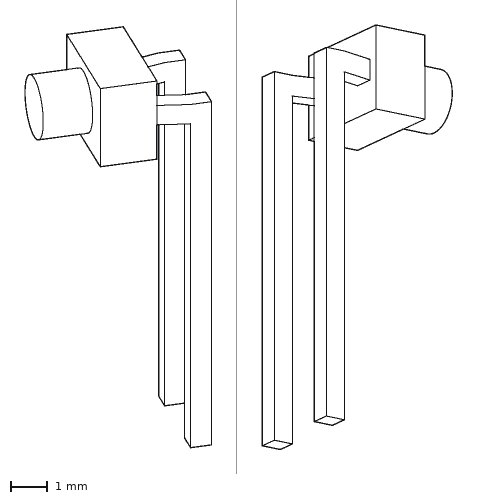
import cadquery as cq

housing_width = 3.3
housing_depth = 1.6
housing_height = 2.4

button_diameter = 1.8
button_length = 1.4

total_depth = 4.57
total_height = 11.45
leg_thickness = 0.6
leg_pitch = 2.54
leg_splay = 0.22

half_leg = leg_thickness / 2
housing_back = housing_depth
leg_back = total_depth - button_length
leg_front = leg_back - leg_thickness
leg_bottom = housing_height / 2 - total_height


def make_housing():
    return cq.Workplane("XY").box(housing_width, housing_depth, housing_height, centered=(True, False, True))


def make_button():
    return cq.Workplane("XZ").circle(button_diameter / 2).extrude(button_length)


def make_leg(side):
    """Leg on one side: side is -1 for left, +1 for right."""
    outer_x = side * (leg_pitch / 2 + half_leg)
    inner_x = side * (leg_pitch / 2 - half_leg)
    shift = side * leg_splay

    arm = (
        cq.Workplane("XY", origin=(0, 0, -half_leg))
        .moveTo(inner_x - shift, housing_back)
        .lineTo(outer_x - shift, housing_back)
        .lineTo(outer_x, leg_front)
        .lineTo(outer_x, leg_back)
        .lineTo(inner_x, leg_back)
        .lineTo(inner_x, leg_front)
        .close()
        .extrude(leg_thickness)
    )
    pin = (
        cq.Workplane("XY", origin=(side * leg_pitch / 2, leg_front + half_leg, leg_bottom))
        .rect(leg_thickness, leg_thickness)
        .extrude(half_leg - leg_bottom)
    )
    return arm.union(pin)


result = make_housing().union(make_button())
for leg_side in (-1, 1):
    result = result.union(make_leg(leg_side))